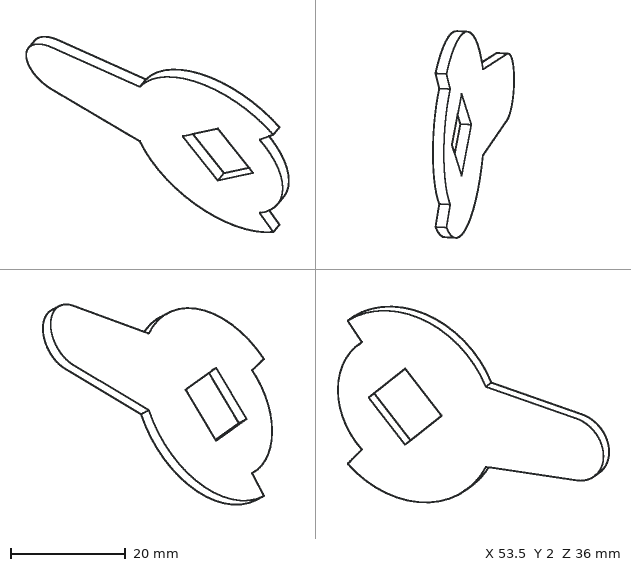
import cadquery as cq
import math

overall_length = 53.5
overall_height = 36.0
thickness = 2.0
hub_radius = 13.55
step_angle = 50.0
arm_end_radius = 6.0
arm_taper = 5.5
square_side = 10.4

disc_radius = overall_height / 2
arm_end_x = hub_radius - overall_length + arm_end_radius


def polar(radius, angle):
    """Point at a radius and an angle in degrees from +X."""
    turn = math.radians(angle)
    return (radius * math.cos(turn), radius * math.sin(turn))


def extrude_plate(outline):
    """Thicken an XZ outline symmetrically about the XZ plane."""
    return outline.extrude(thickness / 2, both=True)


def make_disc():
    """Disc with a large rim, stepped down to the hub radius around +X."""
    return extrude_plate(
        cq.Workplane("XZ")
        .moveTo(*polar(hub_radius, step_angle))
        .lineTo(*polar(disc_radius, step_angle))
        .threePointArc((-disc_radius, 0), polar(disc_radius, -step_angle))
        .lineTo(*polar(hub_radius, -step_angle))
        .threePointArc((hub_radius, 0), polar(hub_radius, step_angle))
        .close()
    )


def make_arm():
    """Tapered arm, tangent to its round end and widening into the disc."""
    tangent_x, tangent_z = polar(arm_end_radius, 90 + arm_taper)
    tangent_x += arm_end_x
    root_z = tangent_z - tangent_x * math.tan(math.radians(arm_taper))
    return extrude_plate(
        cq.Workplane("XZ")
        .moveTo(0, root_z)
        .lineTo(tangent_x, tangent_z)
        .threePointArc((arm_end_x - arm_end_radius, 0), (tangent_x, -tangent_z))
        .lineTo(0, -root_z)
        .close()
    )


square_hole = extrude_plate(
    cq.Workplane("XZ").rect(square_side, square_side)
).rotate((0, 0, 0), (0, 1, 0), 45)

result = make_disc().union(make_arm()).cut(square_hole)